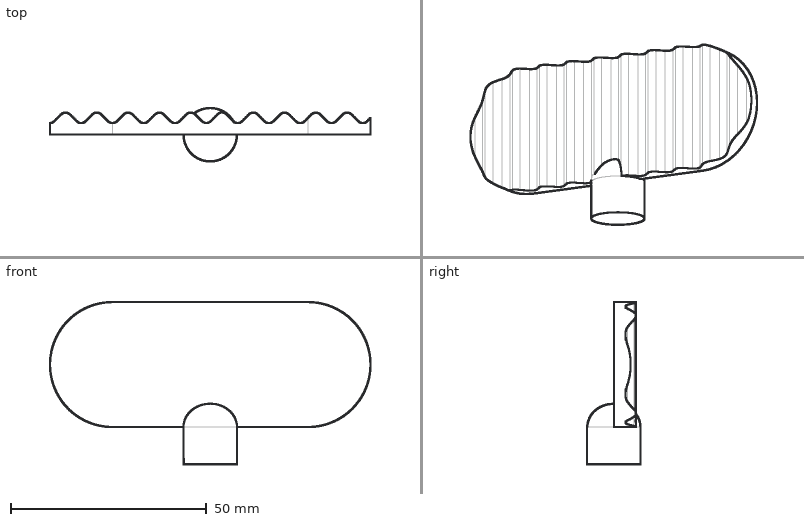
import cadquery as cq
import math

plate_length = 82.0
plate_height = 32.0
groove_floor_y = 3.0

ridge_pitch = 8.0
ridge_round = 1.6
flank_angle = math.radians(45)

peg_diameter = 13.7
peg_exposed_height = 9.55
peg_crown_height = 6.0
peg_radius = peg_diameter / 2

left_end = -plate_length / 2
flank_run = ridge_pitch / 2
corner_loss = ridge_round * (1 / math.cos(flank_angle) - 1)
ridge_height = flank_run * math.tan(flank_angle) - 2 * corner_loss
crest_y = groove_floor_y + ridge_height
round_half_width = ridge_round * math.sin(flank_angle)
round_depth = ridge_round * (1 - math.cos(flank_angle))


def ridged_slab():
    """Slab with vertical ridges; the first valley is centred on the left end."""
    ridge_count = math.ceil(plate_length / ridge_pitch)
    profile = cq.Workplane("XY").moveTo(left_end - round_half_width, 0)
    profile = profile.lineTo(left_end - round_half_width, groove_floor_y + round_depth)
    for index in range(ridge_count):
        valley_x = left_end + index * ridge_pitch
        crest_x = valley_x + flank_run
        profile = profile.threePointArc(
            (valley_x, groove_floor_y),
            (valley_x + round_half_width, groove_floor_y + round_depth),
        )
        profile = profile.lineTo(crest_x - round_half_width, crest_y - round_depth)
        profile = profile.threePointArc(
            (crest_x, crest_y),
            (crest_x + round_half_width, crest_y - round_depth),
        )
        next_valley_x = valley_x + ridge_pitch
        profile = profile.lineTo(next_valley_x - round_half_width, groove_floor_y + round_depth)
    profile = profile.lineTo(left_end + ridge_count * ridge_pitch - round_half_width, 0)
    return profile.close().extrude(plate_height)


def stadium():
    """Stadium block that trims the ridged slab to the plate outline."""
    return (
        cq.Workplane("XZ")
        .center(0, plate_height / 2)
        .slot2D(plate_length, plate_height)
        .extrude(-crest_y)
    )


def peg():
    """Peg centred on the flat face of the plate, topped by half an ellipsoid."""
    shaft = (
        cq.Workplane("XY")
        .workplane(offset=-peg_exposed_height)
        .circle(peg_radius)
        .extrude(peg_exposed_height)
    )
    crown = (
        cq.Workplane("XZ")
        .ellipseArc(peg_radius, peg_crown_height, 0, 90, startAtCurrent=False)
        .lineTo(0, 0)
        .close()
        .revolve(360, (0, 0, 0), (0, 1, 0))
    )
    return shaft.union(crown)


plate = ridged_slab().intersect(stadium())
result = plate.union(peg())